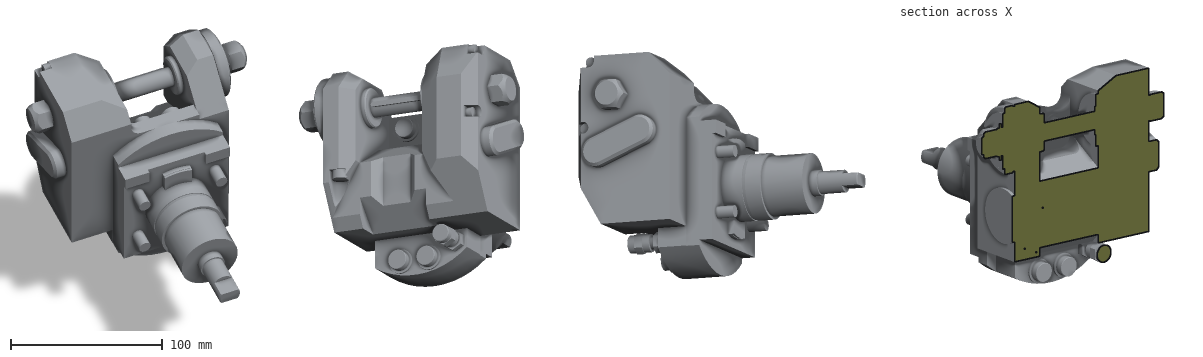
import cadquery as cq
import math


HOUSING_BACK = -18.3
HOUSING_FLOOR = -29.8
TOE_X = -67.2
LOWER_SLOPE = math.tan(math.radians(60))
ARM_GAP = 24.3
BEVEL_RUN = math.tan(math.radians(30))

NEAR_OUTER_Y = -66.9
NEAR_FRONT_X = -87.0
FAR_OUTER_Y = 45.4
FAR_FRONT_X = -84.2
NEAR_BEVEL_WIDTH = 15.0
FAR_BEVEL_WIDTH = 9.8
OUTER_BEVEL_WIDTH = 9.9

RAMP_FRONT_X = -72.2
RAMP_FRONT_Z = 14.1
RAMP_TOP_Z = 30.2
RAMP_RISE = math.tan(math.radians(30))
WALL_X = -28.1
WALL_TOP_Z = 56.5
CORNER_RADIUS = 7.8
FLARE_BOTTOM_Z = -40.0
FLARE_RUN = 0.5625
VEE_OUTER = 15.9
VEE_INNER = 10.0
VEE_X = -66.3
UNDERCUT_Z = -9.9

FLANGE_RADIUS = 56.95
FLANGE_HALF_WIDTH = 37.4
FLANGE_STEP_X = -9.2
SQUARE_TOP_Z = 40.2
SQUARE_BOTTOM_Z = -39.5
PAD_HEIGHT = 2.6
PAD_BOTTOM_Z = 31.3
PAD_INNER_Y = 20.2
FOOT_FRONT_X = -38.3
FOOT_LEFT_Y = 29.7
FOOT_RIGHT_Y = -37.7
BAR_HALF_WIDTH = 9.7
BAR_RADIUS = 33.3
BAR_STEP_RADIUS = 33.0
BAR_STEP = 2.9
BAR_HEIGHT = 4.3
PIN_RADIUS = 4.0
PIN_LENGTH = 12.3
PIN_Y = 27.4
PIN_Z = 20.2

BOLT_Y = 10.35
BOLT_Z = 46.7
BOLT_HEAD_RADIUS = 6.6
BOLT_HEAD_END = 6.7
BOLT_HEAD_CHAMFER = 0.3
BOLT_WASHER_RADIUS = 8.2
BOLT_WASHER_THICKNESS = 1.4

SPINDLE_LENGTH = 91.0
TANG_X = 79.6
TANG_HALF_THICKNESS = 4.1
SPINDLE_RADIUS = 22.0
GROOVE_RADIUS = 21.4
SLEEVE_RADIUS = 20.0
NECK_RADIUS = 8.6
SHAFT_RADIUS = 7.5
SHAFT_CHAMFER = 0.6

ARBOR_X = -58.2
ARBOR_Z = 55.2
ARBOR_RADIUS = 6.5
ARBOR_FLATS = 18.7
HEX_TIP_RADIUS = 8.0
BOLT_START_Y = -67.7
BOLT_END_Y = -79.5
NUT_START_Y = 60.2
NUT_END_Y = 71.5
STUD_END_Y = 73.0


def prism_y(points, y_low, y_high):
    """Prism with an (x, z) outline."""
    plane = cq.Workplane("XZ", origin=(0, y_high, 0))
    return plane.polyline(points).close().extrude(y_high - y_low)


def prism_x(points, x_low, x_high):
    """Prism with a (y, z) outline."""
    plane = cq.Workplane("YZ", origin=(x_low, 0, 0))
    return plane.polyline(points).close().extrude(x_high - x_low)


def prism_z(points, z_low, z_high):
    """Prism with an (x, y) outline."""
    plane = cq.Workplane("XY", origin=(0, 0, z_low))
    return plane.polyline(points).close().extrude(z_high - z_low)


def box(x_range, y_range, z_range):
    """Box between two limits on each axis."""
    size = [high - low for low, high in (x_range, y_range, z_range)]
    corner = (x_range[0], y_range[0], z_range[0])
    return cq.Workplane("XY", origin=corner).box(*size, centered=False)


def rod_x(x_low, x_high, radius, y=0.0, z=0.0):
    """Cylinder along X."""
    return cq.Workplane("YZ", origin=(x_low, y, z)).circle(radius).extrude(x_high - x_low)


def rod_y(y_low, y_high, radius, x=ARBOR_X, z=ARBOR_Z):
    """Cylinder along Y, on the arbor axis unless told otherwise."""
    return cq.Workplane("XZ", origin=(x, y_high, z)).circle(radius).extrude(y_high - y_low)


def rod_z(z_low, z_high, radius, x, y):
    """Cylinder along Z."""
    return cq.Workplane("XY", origin=(x, y, z_low)).circle(radius).extrude(z_high - z_low)


def hexagon(across_flats, first_corner_angle, center):
    """Corners of a regular hexagon, the first one at the given angle in degrees."""
    corner_radius = across_flats / math.sqrt(3)
    angles = [math.radians(first_corner_angle + 60 * i) for i in range(6)]
    return [
        (center[0] + corner_radius * math.cos(a), center[1] + corner_radius * math.sin(a))
        for a in angles
    ]


def joined(solids):
    """All the solids fused into one."""
    whole = solids[0]
    for solid in solids[1:]:
        whole = whole.union(solid)
    return whole


def arm_outline(front_x, brow_z, crown_x, crown_back_x, top_z, front_inset=0, brow_inset=0, top_inset=0):
    """(x, z) outline of an arm; the insets move its front, brow and top faces inwards.

    The brow is the sloping face between the front and the top. The 45 degree slope at
    the back stays where it is.
    """
    lean = (crown_x - front_x) / (top_z - brow_z)
    brow_shift = brow_inset * math.sqrt(1 + lean**2)
    front = front_x + front_inset
    top = top_z - top_inset
    return [
        (HOUSING_BACK, HOUSING_FLOOR),
        (front, HOUSING_FLOOR),
        (front, brow_z + (front_inset - brow_shift) / lean),
        (front_x + brow_shift + lean * (top - brow_z), top),
        (crown_back_x + top_inset, top),
        (HOUSING_BACK, top_z - (HOUSING_BACK - crown_back_x)),
    ]


def beveled_arm(outer_y, side, bevel_width, outline, brow_inset, top_inset):
    """Arm on the given side (+1 or -1) of the gap, beveled towards the gap."""
    bevel_y = side * (ARM_GAP + bevel_width)
    plain = prism_y(arm_outline(**outline), min(outer_y, bevel_y), max(outer_y, bevel_y))
    inset_outline = arm_outline(
        **outline,
        front_inset=bevel_width * BEVEL_RUN,
        brow_inset=brow_inset,
        top_inset=top_inset,
    )
    bevel = (
        cq.Workplane("XZ", origin=(0, bevel_y, 0))
        .polyline(arm_outline(**outline))
        .close()
        .workplane(offset=side * bevel_width)
        .polyline(inset_outline)
        .close()
        .loft(ruled=True)
    )
    return plain.union(bevel)


def screw_pocket(x, z, open_upwards):
    """Pocket in the outer face of the near arm, open to the front, with a screw head in it."""
    pocket_radius = 3.9
    head_radius = 3.5
    pocket_floor_y = -58.4
    head_top_y = -62.8
    reach = 20.0
    pocket_top = z + (reach if open_upwards else pocket_radius)
    depth = (NEAR_OUTER_Y, pocket_floor_y)
    pocket = rod_y(*depth, pocket_radius, x, z)
    pocket = pocket.union(box((x - reach, x), depth, (z - pocket_radius, pocket_top)))
    if open_upwards:
        pocket = pocket.union(box((x - reach, x + pocket_radius), depth, (z, z + reach)))
    return pocket.cut(rod_y(head_top_y, pocket_floor_y, head_radius, x, z))


def near_arm():
    outline = dict(front_x=NEAR_FRONT_X, brow_z=60.7, crown_x=-79.0, crown_back_x=-33.2, top_z=82.95)
    arm = beveled_arm(NEAR_OUTER_Y, -1, NEAR_BEVEL_WIDTH, outline, brow_inset=9.1, top_inset=7.7)
    outer_bevel = prism_z(
        [
            (NEAR_FRONT_X, NEAR_OUTER_Y),
            (NEAR_FRONT_X + OUTER_BEVEL_WIDTH * BEVEL_RUN, NEAR_OUTER_Y),
            (NEAR_FRONT_X, NEAR_OUTER_Y + OUTER_BEVEL_WIDTH),
        ],
        HOUSING_FLOOR,
        outline["top_z"],
    )
    arm = arm.cut(outer_bevel)
    arm = arm.cut(screw_pocket(-76.0, 79.4, open_upwards=True))
    return arm.cut(screw_pocket(-79.9, 35.3, open_upwards=False))


def far_arm():
    outline = dict(front_x=FAR_FRONT_X, brow_z=64.3, crown_x=-69.3, crown_back_x=-45.1, top_z=78.9)
    arm = beveled_arm(FAR_OUTER_Y, 1, FAR_BEVEL_WIDTH, outline, brow_inset=5.1, top_inset=5.9)
    slot_x, slot_y, slot_radius = -78.0, 35.6, 5.5
    slot_bottom, head_bottom, slot_top = HOUSING_FLOOR, 2.4, 8.2
    slot = rod_z(slot_bottom, slot_top, slot_radius, slot_x, slot_y)
    slot_width = (slot_y - slot_radius, slot_y + slot_radius)
    slot = slot.union(box((FAR_FRONT_X, slot_x), slot_width, (slot_bottom, slot_top)))
    return arm.cut(slot.cut(rod_z(head_bottom, slot_top, slot_radius, slot_x, slot_y)))


def center_block():
    """Ramped block and bolt wall between the arms."""
    block_top_z = WALL_TOP_Z + CORNER_RADIUS
    channel_top_z = block_top_z + CORNER_RADIUS
    ramp_end_z = RAMP_FRONT_Z + (WALL_X - RAMP_FRONT_X) * RAMP_RISE
    block = prism_y(
        [
            (RAMP_FRONT_X, HOUSING_FLOOR),
            (RAMP_FRONT_X, RAMP_FRONT_Z),
            (WALL_X, ramp_end_z),
            (WALL_X, block_top_z),
            (HOUSING_BACK, block_top_z),
            (HOUSING_BACK, HOUSING_FLOOR),
        ],
        -ARM_GAP,
        ARM_GAP,
    )
    for x_range, bottom_z in (
        ((RAMP_FRONT_X, WALL_X), RAMP_TOP_Z),
        ((WALL_X, HOUSING_BACK), WALL_TOP_Z),
    ):
        channel = box(x_range, (-ARM_GAP, ARM_GAP), (bottom_z, channel_top_z))
        channel = channel.faces("<Z").edges("<Y").fillet(CORNER_RADIUS)
        block = block.cut(channel)
    return block


def flared_opening():
    """Space in front of the block that widens downwards into both arms."""
    bottom_half = ARM_GAP + (RAMP_FRONT_Z - FLARE_BOTTOM_Z) * FLARE_RUN
    return prism_x(
        [
            (-ARM_GAP, RAMP_FRONT_Z),
            (ARM_GAP, RAMP_FRONT_Z),
            (bottom_half, FLARE_BOTTOM_Z),
            (-bottom_half, FLARE_BOTTOM_Z),
        ],
        NEAR_FRONT_X,
        RAMP_FRONT_X,
    )


def vee_notch():
    """Upright trapezoid notch in the front face of the block."""
    outline = [
        (RAMP_FRONT_X, -VEE_OUTER),
        (VEE_X, -VEE_INNER),
        (VEE_X, VEE_INNER),
        (RAMP_FRONT_X, VEE_OUTER),
    ]
    return prism_z(outline, HOUSING_FLOOR, RAMP_TOP_Z)


def undercut():
    """45 degree cut under the front of the block."""
    drop = UNDERCUT_Z - HOUSING_FLOOR
    outline = [
        (RAMP_FRONT_X, UNDERCUT_Z),
        (RAMP_FRONT_X + drop, HOUSING_FLOOR),
        (RAMP_FRONT_X, HOUSING_FLOOR),
    ]
    return prism_y(outline, -ARM_GAP, ARM_GAP)


def lower_slope_cut():
    """Cuts the lower slope across both arms and the block."""
    outline = [
        (TOE_X, HOUSING_FLOOR),
        (NEAR_FRONT_X, HOUSING_FLOOR + (TOE_X - NEAR_FRONT_X) * LOWER_SLOPE),
        (NEAR_FRONT_X, HOUSING_FLOOR),
    ]
    return prism_y(outline, NEAR_OUTER_Y, FAR_OUTER_Y)


def housing():
    body = joined([near_arm(), far_arm(), center_block()])
    for cutter in (flared_opening(), vee_notch(), undercut(), lower_slope_cut()):
        body = body.cut(cutter)
    return body


def flange():
    full_width = (-FLANGE_HALF_WIDTH, FLANGE_HALF_WIDTH)
    full_height = (-FLANGE_RADIUS, FLANGE_RADIUS)
    round_part = rod_x(HOUSING_BACK, FLANGE_STEP_X, FLANGE_RADIUS)
    round_part = round_part.intersect(box((HOUSING_BACK, FLANGE_STEP_X), full_width, full_height))
    foot = rod_x(FOOT_FRONT_X, HOUSING_BACK, FLANGE_RADIUS)
    foot_width = (FOOT_RIGHT_Y, FOOT_LEFT_Y)
    foot = foot.intersect(
        box((FOOT_FRONT_X, HOUSING_BACK), foot_width, (-FLANGE_RADIUS, HOUSING_FLOOR))
    )
    square_part = box((FLANGE_STEP_X, 0), full_width, (SQUARE_BOTTOM_Z, SQUARE_TOP_Z))
    parts = [round_part, foot, square_part]
    for low, high in ((-FLANGE_HALF_WIDTH, -PAD_INNER_Y), (PAD_INNER_Y, FLANGE_HALF_WIDTH)):
        parts.append(box((0, PAD_HEIGHT), (low, high), (PAD_BOTTOM_Z, SQUARE_TOP_Z)))
    return joined(parts)


def locating_bar():
    """Round-ended upright bar across the mounting face."""
    bar = rod_x(0, BAR_STEP, BAR_RADIUS).union(rod_x(BAR_STEP, BAR_HEIGHT, BAR_STEP_RADIUS))
    limits = box(
        (0, BAR_HEIGHT), (-BAR_HALF_WIDTH, BAR_HALF_WIDTH), (-BAR_RADIUS, BAR_RADIUS)
    )
    return bar.intersect(limits)


def pins():
    return [
        rod_x(FLANGE_STEP_X, PIN_LENGTH, PIN_RADIUS, y, z)
        for y in (-PIN_Y, PIN_Y)
        for z in (-PIN_Z, PIN_Z)
    ]


def bolt(face_x, y, z):
    """Bolt head on a washer, standing on a face that looks towards -X."""
    washer = rod_x(face_x - BOLT_WASHER_THICKNESS, face_x, BOLT_WASHER_RADIUS, y, z)
    head = rod_x(face_x - BOLT_HEAD_END, face_x, BOLT_HEAD_RADIUS, y, z)
    return washer.union(head.faces("<X").chamfer(BOLT_HEAD_CHAMFER))


def bolts():
    return [
        bolt(face_x, y, z)
        for face_x, z in ((WALL_X, BOLT_Z), (FOOT_FRONT_X, -BOLT_Z))
        for y in (-BOLT_Y, BOLT_Y)
    ]


def coolant_fitting():
    """Hose fitting on the front of the foot: two hexagons and round sections."""
    y, z = -29.3, -37.9
    across_flats = 12.2
    corners = hexagon(across_flats, 90, (y, z))
    tip_x, cap_end, base_hex_start = -61.3, -46.0, -43.0
    cap_radius, cap_chamfer, neck_radius = 6.0, 0.4, 4.1
    cap = rod_x(tip_x, cap_end, cap_radius, y, z).faces("<X").chamfer(cap_chamfer)
    cap_hex_start, cap_hex_end = -56.5, -50.9
    return joined(
        [
            cap,
            prism_x(corners, cap_hex_start, cap_hex_end),
            rod_x(cap_end, base_hex_start, neck_radius, y, z),
            prism_x(corners, base_hex_start, FOOT_FRONT_X),
        ]
    )


def spindle():
    groove_start, groove_end, sleeve_start, sleeve_end, neck_end = 14.7, 17.0, 27.8, 56.9, 62.5
    parts = [
        rod_x(HOUSING_BACK, groove_start, SPINDLE_RADIUS),
        rod_x(groove_start, groove_end, GROOVE_RADIUS),
        rod_x(groove_end, sleeve_start, SPINDLE_RADIUS),
        rod_x(sleeve_start, sleeve_end, SLEEVE_RADIUS),
        rod_x(sleeve_end, neck_end, NECK_RADIUS),
    ]
    shaft = rod_x(neck_end, SPINDLE_LENGTH, SHAFT_RADIUS).faces(">X").chamfer(SHAFT_CHAMFER)
    tang_length = (TANG_X, SPINDLE_LENGTH)
    across = (-SHAFT_RADIUS, SHAFT_RADIUS)
    shaft = shaft.cut(box(tang_length, across, (TANG_HALF_THICKNESS, SHAFT_RADIUS)))
    shaft = shaft.cut(box(tang_length, across, (-SHAFT_RADIUS, -TANG_HALF_THICKNESS)))
    return joined(parts + [shaft])


def rounded_hexagon(y_low, y_high, cone_length, end):
    """Hexagon along the arbor, coned at its low or high end."""
    corner_radius = ARBOR_FLATS / math.sqrt(3)
    body = prism_y(hexagon(ARBOR_FLATS, 0, (ARBOR_X, ARBOR_Z)), y_low, y_high)
    if end == "low":
        start, tip, other = y_low + cone_length, y_low, y_high
    else:
        start, tip, other = y_high - cone_length, y_high, y_low
    half_section = [
        (0, other),
        (corner_radius, other),
        (corner_radius, start),
        (HEX_TIP_RADIUS, tip),
        (0, tip),
    ]
    envelope = (
        cq.Workplane("XY")
        .polyline(half_section)
        .close()
        .revolve(360, (0, 0, 0), (0, 1, 0))
        .translate((ARBOR_X, 0, ARBOR_Z))
    )
    return body.intersect(envelope)


def arbor():
    key_length = (-20.5, 19.3)
    key_width = 3.3
    key_front_x = -66.0
    key = (
        cq.Workplane("YZ", origin=(key_front_x, sum(key_length) / 2, ARBOR_Z))
        .slot2D(key_length[1] - key_length[0], key_width)
        .extrude(ARBOR_X - key_front_x)
    )
    near_collar_end, near_collar_radius = -22.0, 18.1
    near_ring_end, near_ring_radius = -21.5, 10.0
    far_collar_start, far_collar_radius, far_collar_chamfer = 20.6, 13.2, 0.8
    near_collar = rod_y(-ARM_GAP, near_collar_end, near_collar_radius)
    near_ring = rod_y(-ARM_GAP, near_ring_end, near_ring_radius)
    far_collar = rod_y(far_collar_start, ARM_GAP, far_collar_radius)
    far_collar = far_collar.faces("<Y").chamfer(far_collar_chamfer)
    return joined([rod_y(-ARM_GAP, ARM_GAP, ARBOR_RADIUS), key, near_collar, near_ring, far_collar])


def arbor_bolt_head():
    collar_radius, cone_length = 9.0, 4.2
    collar = rod_y(BOLT_START_Y, NEAR_OUTER_Y, collar_radius)
    return collar.union(rounded_hexagon(BOLT_END_Y, BOLT_START_Y, cone_length, "low"))


def bearing_cap_and_nut():
    seat_end, cap_end, lip_end = 46.6, 53.9, 55.7
    washer_start, washer_end = 56.5, 58.3
    seat_radius, cap_radius, lip_radius, neck_radius, stud_radius = 22.6, 23.4, 19.3, 10.0, 6.3
    cap_chamfer, stud_chamfer = 0.8, 0.6
    washer_flats = 22.0
    nut_cone_length = 3.0
    cap = rod_y(seat_end, cap_end, cap_radius).faces(">Y").chamfer(cap_chamfer)
    tab_washer = prism_y(hexagon(washer_flats, 30, (ARBOR_X, ARBOR_Z)), washer_start, washer_end)
    return joined(
        [
            rod_y(FAR_OUTER_Y, seat_end, seat_radius),
            cap,
            rod_y(cap_end, lip_end, lip_radius),
            rod_y(lip_end, NUT_START_Y, neck_radius),
            tab_washer,
            rounded_hexagon(NUT_START_Y, NUT_END_Y, nut_cone_length, "high"),
            rod_y(NUT_START_Y, STUD_END_Y, stud_radius).faces(">Y").chamfer(stud_chamfer),
        ]
    )


def spindle_cover():
    """Thin round cover on the outer face of the far arm, level with the spindle."""
    cover_x, cover_end, cover_radius = -48.3, 47.6, 18.9
    return rod_y(FAR_OUTER_Y, cover_end, cover_radius, x=cover_x, z=0)


def gear_cover():
    """Raised slanted cover with round ends on the outer face of the near arm."""
    low_end = (-68.3, 17.7)
    high_end = (-37.3, 30.4)
    radius = 9.8
    height = 8.3
    edge_chamfer = 1.8
    run, rise = high_end[0] - low_end[0], high_end[1] - low_end[1]
    middle = ((low_end[0] + high_end[0]) / 2, (low_end[1] + high_end[1]) / 2)
    return (
        cq.Workplane("XZ", origin=(middle[0], NEAR_OUTER_Y, middle[1]))
        .slot2D(math.hypot(run, rise) + 2 * radius, 2 * radius, math.degrees(math.atan2(rise, run)))
        .extrude(height)
        .faces("<Y")
        .chamfer(edge_chamfer)
    )


result = joined(
    [housing(), flange(), locating_bar(), spindle(), coolant_fitting()]
    + pins()
    + bolts()
    + [arbor(), arbor_bolt_head(), bearing_cap_and_nut(), spindle_cover(), gear_cover()]
).clean()